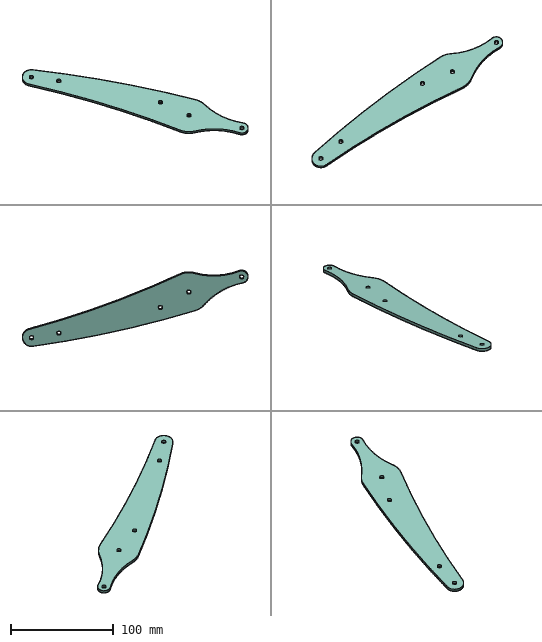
import cadquery as cq
import math

thickness = 3.0
hole_diameter = 4.0

tail_center, tail_radius = (0.0, 0.0), 8.9
body_center, body_radius = (154.6, 41.9), 20.0
tip_center, tip_radius = (206.5, 56.0), 6.2

inner_holes = [(25.0, 10.2), (122.7, 40.5)]

upper_edge_radius = 996.8
lower_edge_radius = 886.0
neck_radius = 66.5


def arc_center(start, start_distance, end, end_distance, side):
    """Point at the given distances from start and end; side +1 is left of start-to-end."""
    dx = end[0] - start[0]
    dy = end[1] - start[1]
    span = math.hypot(dx, dy)
    along = (start_distance**2 - end_distance**2 + span**2) / (2 * span)
    across = side * math.sqrt(start_distance**2 - along**2)
    return (
        start[0] + (along * dx - across * dy) / span,
        start[1] + (along * dy + across * dx) / span,
    )


def toward(origin, target, distance):
    """Point at a signed distance from origin in the direction of target."""
    scale = distance / math.dist(origin, target)
    return (
        origin[0] + scale * (target[0] - origin[0]),
        origin[1] + scale * (target[1] - origin[1]),
    )


def joining_arc(start, start_radius, end, end_radius, radius, side, bulges=False):
    """Start, middle and end points of an arc tangent to two station circles."""
    sign = -1 if bulges else 1
    center = arc_center(
        start, radius + sign * start_radius, end, radius + sign * end_radius, side
    )
    first = toward(start, center, sign * start_radius)
    last = toward(end, center, sign * end_radius)
    chord_middle = ((first[0] + last[0]) / 2, (first[1] + last[1]) / 2)
    return first, toward(center, chord_middle, radius), last


upper_edge = joining_arc(
    tail_center, tail_radius, body_center, body_radius, upper_edge_radius, -1, bulges=True
)
upper_neck = joining_arc(body_center, body_radius, tip_center, tip_radius, neck_radius, 1)
lower_neck = joining_arc(tip_center, tip_radius, body_center, body_radius, neck_radius, 1)
lower_edge = joining_arc(
    body_center, body_radius, tail_center, tail_radius, lower_edge_radius, 1
)

body_top = (body_center[0], body_center[1] + body_radius)
body_lower_middle = toward(
    body_center,
    ((lower_neck[2][0] + lower_edge[0][0]) / 2, (lower_neck[2][1] + lower_edge[0][1]) / 2),
    body_radius,
)
tail_end = (tail_center[0] - tail_radius, tail_center[1])
tip_end = (tip_center[0] + tip_radius, tip_center[1])

plate = (
    cq.Workplane("XY")
    .moveTo(*upper_edge[0])
    .threePointArc(*upper_edge[1:])
    .threePointArc(body_top, upper_neck[0])
    .threePointArc(*upper_neck[1:])
    .threePointArc(tip_end, lower_neck[0])
    .threePointArc(*lower_neck[1:])
    .threePointArc(body_lower_middle, lower_edge[0])
    .threePointArc(*lower_edge[1:])
    .threePointArc(tail_end, upper_edge[0])
    .close()
    .extrude(thickness)
)

holes = (
    cq.Workplane("XY")
    .pushPoints([tail_center, body_center, tip_center] + inner_holes)
    .circle(hole_diameter / 2)
    .extrude(thickness)
)

result = plate.cut(holes)